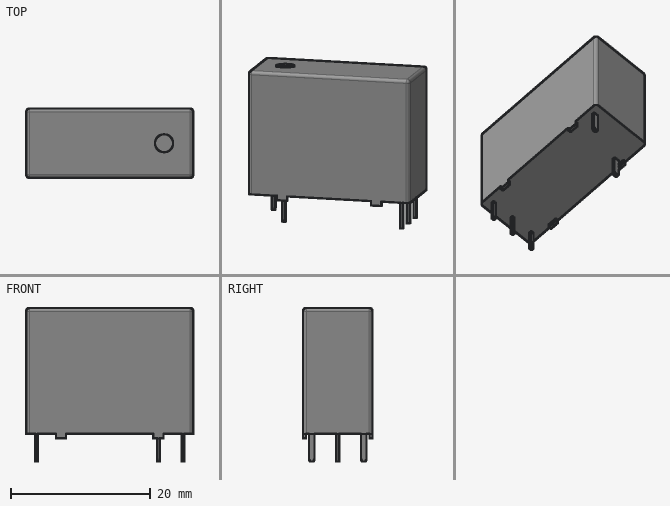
import cadquery as cq

case_length = 24.0
case_width = 10.0
case_height = 18.1
edge_radius = 0.5

dimple_diameter = 2.6
dimple_depth = 0.3
dimple_x = 7.8

foot_length = 1.5
foot_thickness = 0.45
foot_height = 0.65
left_foot_x = -7.0
right_foot_x = 6.98

pin_length = 4.0
pin_thickness = 0.4
coil_pin_width = 0.45
contact_pin_width = 0.82
pin_row_offset = 3.75
coil_pin_x = -10.5
outer_contact_x = -coil_pin_x
inner_contact_x = right_foot_x
pin_embed = 0.25


def make_case():
    case = cq.Workplane("XY").box(case_length, case_width, case_height, centered=(True, True, False))
    case = case.edges("|Z or >Z").fillet(edge_radius)
    dimple = (
        cq.Workplane("XY", origin=(dimple_x, 0, case_height - dimple_depth))
        .circle(dimple_diameter / 2)
        .extrude(dimple_depth)
    )
    return case.cut(dimple)


def make_foot(x, side):
    y = side * (case_width - foot_thickness) / 2
    return (
        cq.Workplane("XY", origin=(x, y, -foot_height))
        .rect(foot_length, foot_thickness)
        .extrude(foot_height + pin_embed)
    )


def make_square_end_pin(x, y, width):
    """Flat pin with a square end, thin along X."""
    return (
        cq.Workplane("XY", origin=(x, y, -pin_length))
        .rect(pin_thickness, width)
        .extrude(pin_length + pin_embed)
    )


def make_round_tip_pin(x, y, width):
    """Flat pin whose lower end is a full half circle across its width."""
    radius = width / 2
    return (
        cq.Workplane("YZ", origin=(x, y, 0))
        .moveTo(-radius, pin_embed)
        .lineTo(-radius, radius - pin_length)
        .threePointArc((0, -pin_length), (radius, radius - pin_length))
        .lineTo(radius, pin_embed)
        .close()
        .extrude(pin_thickness / 2, both=True)
    )


result = make_case()

for foot_x in (left_foot_x, right_foot_x):
    for side in (-1, 1):
        result = result.union(make_foot(foot_x, side))

for row in (-1, 0, 1):
    result = result.union(make_square_end_pin(coil_pin_x, row * pin_row_offset, coil_pin_width))

for contact_x, side in ((inner_contact_x, 1), (outer_contact_x, -1)):
    result = result.union(make_round_tip_pin(contact_x, side * pin_row_offset, contact_pin_width))